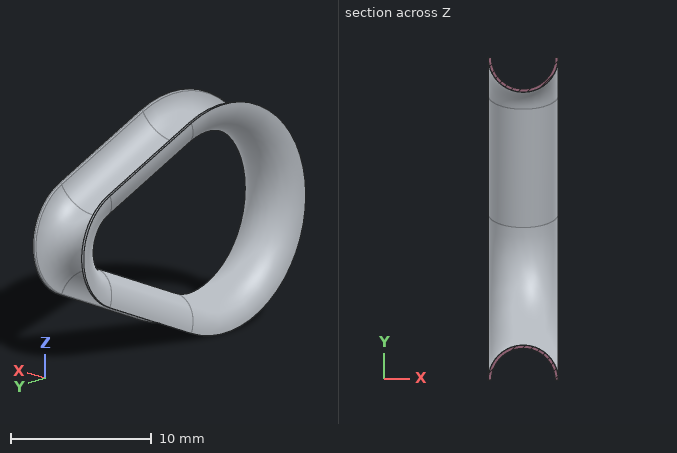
import cadquery as cq
import math

overall_length = 22.97
large_rim_radius = 8.48
small_rim_radius = 4.5
channel_outer_radius = 2.5
channel_inner_radius = 2.25
lip_fillet_radius = 0.1

center_distance = overall_length - large_rim_radius - small_rim_radius
tangent_angle = math.asin((large_rim_radius - small_rim_radius) / center_distance)


def tangent_point(radius, center_y):
    """Upper point (Y, Z) where an arc of the rim meets the straight side."""
    return (
        center_y + radius * math.sin(tangent_angle),
        radius * math.cos(tangent_angle),
    )


def mirrored(point):
    return (point[0], -point[1])


large_top = tangent_point(large_rim_radius, 0)
small_top = tangent_point(small_rim_radius, center_distance)
large_end = (-large_rim_radius, 0)
small_end = (center_distance + small_rim_radius, 0)

rim_path = (
    cq.Workplane("YZ")
    .moveTo(*large_end)
    .threePointArc((0, large_rim_radius), large_top)
    .lineTo(*small_top)
    .threePointArc(small_end, mirrored(small_top))
    .lineTo(*mirrored(large_top))
    .threePointArc((0, -large_rim_radius), large_end)
    .close()
)

fillet_center_x = math.sqrt(
    (channel_inner_radius + lip_fillet_radius) ** 2 - lip_fillet_radius**2
)
fillet_center_angle = math.atan2(lip_fillet_radius, fillet_center_x)
groove_edge = (
    channel_inner_radius * math.cos(fillet_center_angle),
    channel_inner_radius * math.sin(fillet_center_angle),
)
fillet_middle_angle = math.pi / 4 + fillet_center_angle / 2
fillet_middle = (
    fillet_center_x - lip_fillet_radius * math.cos(fillet_middle_angle),
    lip_fillet_radius - lip_fillet_radius * math.sin(fillet_middle_angle),
)

channel_section = (
    cq.Workplane("XY", origin=(0, -large_rim_radius, 0))
    .moveTo(-channel_outer_radius, 0)
    .threePointArc((0, channel_outer_radius), (channel_outer_radius, 0))
    .lineTo(fillet_center_x, 0)
    .threePointArc(fillet_middle, groove_edge)
    .threePointArc((0, channel_inner_radius), (-groove_edge[0], groove_edge[1]))
    .threePointArc((-fillet_middle[0], fillet_middle[1]), (-fillet_center_x, 0))
    .close()
)

result = channel_section.sweep(rim_path)